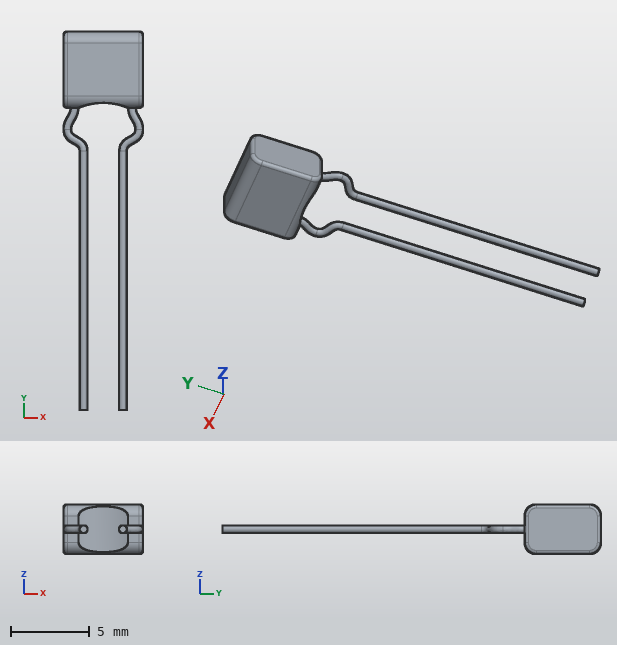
import cadquery as cq

total_length = 24.12

housing_width = 5.07
housing_length = 4.87
housing_height = 3.18
long_edge_radius = 0.75
end_edge_radius = 0.25
hollow_width = 3.14
hollow_depth = 0.31

wire_diameter = 0.5
lead_span = 5.1
lead_pitch = 2.5
entry_pitch = 3.67
bow_distance = 1.37
straight_distance = 2.75


def make_housing():
    """Rounded block with a shallow arched hollow over the full height of its front face."""
    block = (
        cq.Workplane("XY")
        .box(housing_width, housing_length, housing_height)
        .translate((0, housing_length / 2, 0))
        .edges("|X")
        .fillet(long_edge_radius)
        .faces("<X or >X")
        .edges()
        .fillet(end_edge_radius)
    )
    hollow = (
        cq.Workplane("XY")
        .moveTo(-hollow_width / 2, 0)
        .threePointArc((0, hollow_depth), (hollow_width / 2, 0))
        .close()
        .extrude(housing_height, both=True)
    )
    return block.cut(hollow)


def make_lead(side):
    """One wire, starting flush on the housing face; side is -1 for left and +1 for right."""
    entry = (side * entry_pitch / 2, 0)
    bow = (side * (lead_span - wire_diameter) / 2, -bow_distance)
    straight_start = (side * lead_pitch / 2, -straight_distance)
    tip = (side * lead_pitch / 2, housing_length - total_length)

    along_wire = (0, -1)
    path = (
        cq.Workplane("XY")
        .spline([entry, bow], tangents=[along_wire, along_wire])
        .spline([bow, straight_start], tangents=[along_wire, along_wire])
        .moveTo(*straight_start)
        .lineTo(*tip)
    )
    return (
        cq.Workplane("XZ", origin=(*entry, 0))
        .circle(wire_diameter / 2)
        .sweep(path)
    )


housing = make_housing()
leads = [make_lead(side) for side in (-1, 1)]

result = cq.Compound.makeCompound([housing.val(), *[lead.val() for lead in leads]])